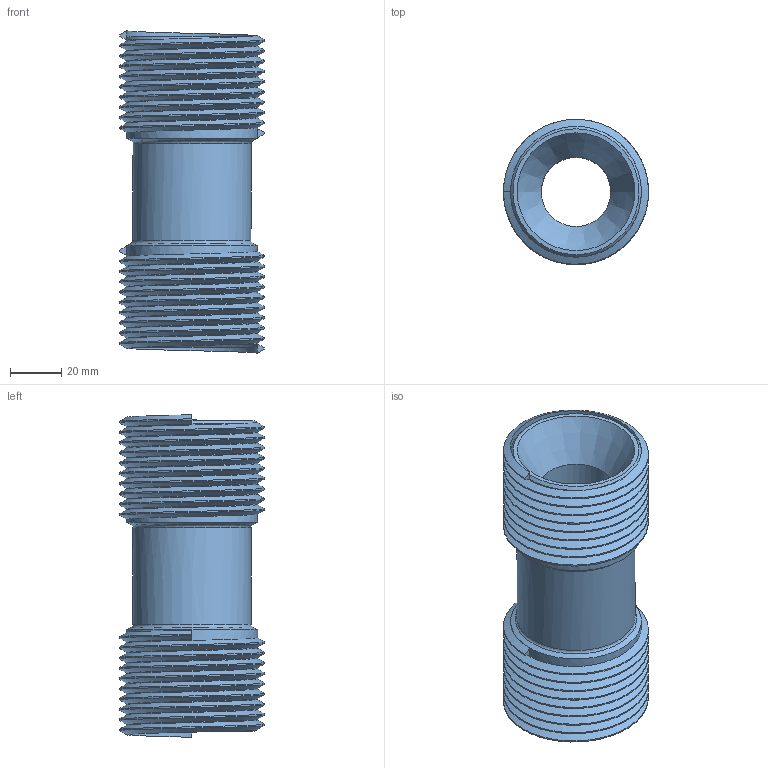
import cadquery as cq
import math

BODY_LENGTH = 121.0
HALF_LENGTH = BODY_LENGTH / 2
NECK_RADIUS = 23.0
COLLAR_RADIUS = 25.5
COLLAR_START = 21.0
SHOULDER_ANGLE = 30.0
SHOULDER_FILLET = 1.3
END_CHAMFER_WIDTH = 1.0
END_CHAMFER_HEIGHT = 1.2

BORE_RADIUS = 13.5
MOUTH_RADIUS = 22.9
MOUTH_HALF_ANGLE = 30.0

PITCH = 4.0
TURNS = 9.5
CREST_RADIUS = 28.2
CREST_WIDTH = PITCH / 8
FLANK_HALF_ANGLE = 30.0
THREAD_TOP = 62.75
ROOT_OVERLAP = 0.05


def make_half_body():
    """Upper half of the hollow spool, revolved from the section of its wall."""
    shoulder_height = (COLLAR_RADIUS - NECK_RADIUS) * math.tan(math.radians(SHOULDER_ANGLE))
    neck_end = COLLAR_START - shoulder_height
    cone_depth = (MOUTH_RADIUS - BORE_RADIUS) / math.tan(math.radians(MOUTH_HALF_ANGLE))
    section = [
        (BORE_RADIUS, 0),
        (NECK_RADIUS, 0),
        (NECK_RADIUS, neck_end),
        (COLLAR_RADIUS, COLLAR_START),
        (COLLAR_RADIUS, HALF_LENGTH - END_CHAMFER_HEIGHT),
        (COLLAR_RADIUS - END_CHAMFER_WIDTH, HALF_LENGTH),
        (MOUTH_RADIUS, HALF_LENGTH),
        (BORE_RADIUS, HALF_LENGTH - cone_depth),
    ]
    body = cq.Workplane("XZ").polyline(section).close().revolve(360, (0, 0, 0), (0, 1, 0))
    neck_corner = cq.selectors.NearestToPointSelector((0, 0, neck_end))
    return body.edges(neck_corner).fillet(SHOULDER_FILLET)


def make_thread():
    """Right-hand thread from the collar up past the end face, starting at +X."""
    root_radius = COLLAR_RADIUS - ROOT_OVERLAP
    flank_rise = (CREST_RADIUS - root_radius) * math.tan(math.radians(FLANK_HALF_ANGLE))
    half_crest = CREST_WIDTH / 2
    half_root = half_crest + flank_rise
    path_height = PITCH * TURNS
    first_middle = THREAD_TOP - half_root - path_height
    helix = cq.Wire.makeHelix(PITCH, path_height, COLLAR_RADIUS, cq.Vector(0, 0, first_middle))
    profile = [
        (root_radius, first_middle - half_root),
        (CREST_RADIUS, first_middle - half_crest),
        (CREST_RADIUS, first_middle + half_crest),
        (root_radius, first_middle + half_root),
    ]
    return cq.Workplane("XZ").polyline(profile).close().sweep(cq.Workplane(helix), isFrenet=True)


upper_half = make_half_body().union(make_thread())
lower_half = upper_half.rotate((0, 0, 0), (0, 1, 0), 180)
result = upper_half.union(lower_half)